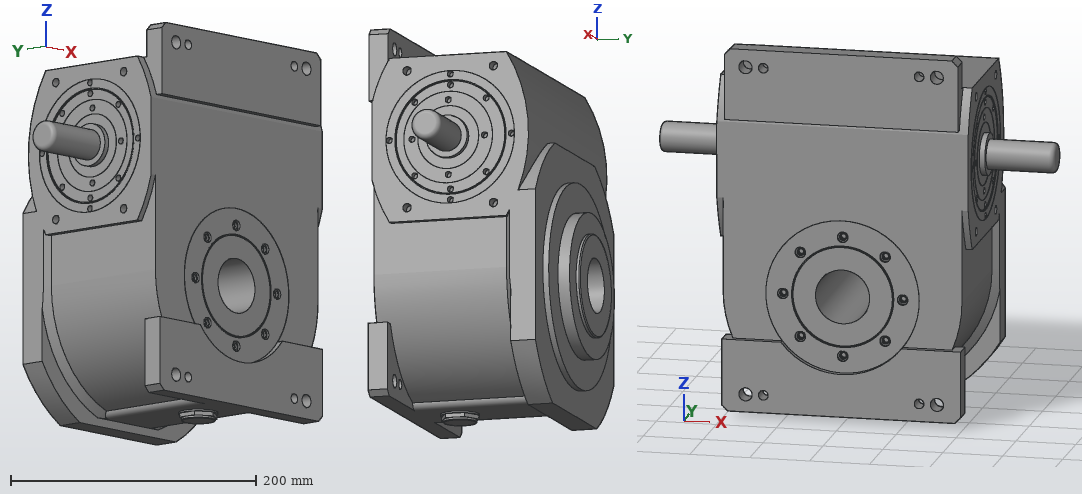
import cadquery as cq
import math


OVERLAP = 1.5

HOUSING_HALF_WIDTH = 105.0
FRONT_FACE_Y = 5.0
BACK_FACE_Y = 123.8
BODY_RADIUS = 99.5
RIB_RADIUS = 106.5
RIB_START_Y = 118.5
PAD_HALF_WIDTH = 32.0
PAD_HEIGHT = 10.0
PAD_EDGE_FILLET = 5.3

INPUT_Y = 70.0
INPUT_Z = 110.0
HEAD_HALF_HEIGHT = 68.0
HEAD_HALF_DEPTH = 69.0
HEAD_ARC_RADIUS = 131.5
SHAFT_LENGTH = 330
SHAFT_DIAMETER = 25.0
SHAFT_END_FILLET = 4.0
COLLAR_DIAMETER = 35.0
COLLAR_HEIGHT = 3.3

CARTRIDGE_Y = 72.0
SEAT_STEP = 0.3
CARTRIDGE_DIAMETER = 110.0
RING_DIAMETER = 95.0
COVER_DIAMETER = 76
SEAL_DIAMETER = 52.0
GAP_WIDTH = 1.0
GAP_DEPTH = 1.3
COVER_SCREW_DIAMETER = 5.0
COVER_SCREW_DEPTH = 6.5
COVER_SCREW_RINGS = [
    (CARTRIDGE_Y, 52.0, (0, 90, 180, 270)),
    (CARTRIDGE_Y, 43.2, (45, 90, 135, 225, 270, 315)),
    (INPUT_Y, 31.0, (0, 90, 180, 270)),
]
CORNER_HOLE_Y = 37.0
CORNER_HOLE_Z = 56.8
CORNER_HOLE_DIAMETER = 7.0
CORNER_HOLE_DEPTH = 10.0

PLATE_THICKNESS = 16.5
PLATE_CHAMFER = 5.0
UPPER_PLATE_HALF_WIDTH = 97.5
UPPER_PLATE_TOP = 205.0
UPPER_PLATE_BOTTOM = 145.2
LOWER_PLATE_HALF_WIDTH = 99.5
LOWER_PLATE_TOP = -39.5
LOWER_PLATE_BOTTOM = -100.0
PLATE_HOLE_INSET = 15.0
BOLT_HOLE_X = 80.0
BOLT_HOLE_DIAMETER = 11.0
PIN_HOLE_X = 65.0
PIN_HOLE_DIAMETER = 8.0

FLANGE_RADIUS = 122.0
FLANGE_BACK_Y = 145.0
FLANGE_BOTTOM = -107.0
OUTPUT_STEPS = [(170.0, 149.8), (120.0, 159.7), (85.0, 163.0)]
PILOT_CHAMFER = 1.0
BORE_DIAMETER = 45.2
FRONT_DISC_DIAMETER = 128.0
FRONT_HUB_DIAMETER = 85.0
FRONT_SCREW_COUNT = 8
FRONT_SCREW_CIRCLE = 100.0
FRONT_SCREW_STEPS = [(8.5, 2.0), (6.0, 4.0), (4.3, 6.0)]

PLUG_Y = 47.0
PLUG_DIAMETER = 32.0
PLUG_COLLAR_HEIGHT = 1.3
PLUG_HEX_HEIGHT = 4.5
PLUG_TIP_DIAMETER = 27.7
PLUG_TIP_HEIGHT = LOWER_PLATE_BOTTOM - FLANGE_BOTTOM - PLUG_HEX_HEIGHT
PLUG_TIP_CHAMFER = 0.5


def block(half_width, y_range, z_range):
    """Box centred on X between two Y and two Z limits."""
    size_y = y_range[1] - y_range[0]
    size_z = z_range[1] - z_range[0]
    box = cq.Workplane("XY").box(2 * half_width, size_y, size_z, centered=(True, False, False))
    return box.translate((0, y_range[0], z_range[0]))


def disc_y(diameter, y_start, y_end):
    """Cylinder on the output axis between two Y positions."""
    base = cq.Workplane("XZ", origin=(0, y_start, 0))
    return base.circle(diameter / 2).extrude(y_start - y_end)


def u_profile(radius):
    """U outline on the XZ plane: round below the output axis, straight above it."""
    return (
        cq.Workplane("XZ")
        .moveTo(radius, 0)
        .lineTo(radius, INPUT_Z)
        .lineTo(-radius, INPUT_Z)
        .lineTo(-radius, 0)
        .threePointArc((0, -radius), (radius, 0))
        .close()
    )


def gap_ring(plane, origin, diameter, height):
    """Narrow ring grown from a plane, its outer edge at the given diameter."""
    base = cq.Workplane(plane, origin=origin)
    return base.circle(diameter / 2).circle(diameter / 2 - GAP_WIDTH).extrude(height)


def drill(point, diameter, depth):
    """Blind hole cutter with a drill point, entering the left side of the head at a (Y, Z) point."""
    radius = diameter / 2
    y, z = point
    outline = [(0, 0), (0, radius), (depth, radius), (depth + radius / 2, 0)]
    cutter = cq.Workplane("XY").polyline(outline).close().revolve(360, (0, 0, 0), (1, 0, 0))
    return cutter.translate((-HOUSING_HALF_WIDTH, y, z)).val()


def on_circle(center, radius, angle):
    """Point on a circle, the angle measured in degrees from the first axis."""
    turn = math.radians(angle)
    return center[0] + radius * math.cos(turn), center[1] + radius * math.sin(turn)


def make_head():
    """Housing head: two shallow arcs front and back, flat top and bottom, cut off at the front wall."""
    arc_offset = HEAD_ARC_RADIUS - HEAD_HALF_DEPTH
    corner = math.sqrt(HEAD_ARC_RADIUS**2 - HEAD_HALF_HEIGHT**2) - arc_offset
    head = (
        cq.Workplane("YZ", origin=(-HOUSING_HALF_WIDTH, INPUT_Y, INPUT_Z))
        .moveTo(-corner, HEAD_HALF_HEIGHT)
        .lineTo(corner, HEAD_HALF_HEIGHT)
        .threePointArc((HEAD_HALF_DEPTH, 0), (corner, -HEAD_HALF_HEIGHT))
        .lineTo(-corner, -HEAD_HALF_HEIGHT)
        .threePointArc((-HEAD_HALF_DEPTH, 0), (-corner, HEAD_HALF_HEIGHT))
        .close()
        .extrude(2 * HOUSING_HALF_WIDTH)
    )
    head_z = (INPUT_Z - HEAD_HALF_HEIGHT, INPUT_Z + HEAD_HALF_HEIGHT)
    return head.cut(block(HOUSING_HALF_WIDTH, (0, FRONT_FACE_Y), head_z))


def make_lower_body():
    """U-shaped body with a pad below and a flared rib at the rear flange."""
    depth = BACK_FACE_Y + OVERLAP - FRONT_FACE_Y
    body = u_profile(BODY_RADIUS).extrude(-depth).translate((0, FRONT_FACE_Y, 0))

    pad_z = (LOWER_PLATE_BOTTOM, LOWER_PLATE_BOTTOM + PAD_HEIGHT)
    pad = block(PAD_HALF_WIDTH, (FRONT_FACE_Y, BACK_FACE_Y + OVERLAP), pad_z)
    pad = pad.edges("|Y and <Z").fillet(PAD_EDGE_FILLET)

    rib_depth = BACK_FACE_Y - RIB_START_Y
    flare = math.degrees(math.atan((RIB_RADIUS - BODY_RADIUS) / rib_depth))
    rib = u_profile(RIB_RADIUS).extrude(rib_depth, taper=flare).translate((0, BACK_FACE_Y, 0))
    rib_z = (LOWER_PLATE_BOTTOM, INPUT_Z - OVERLAP)
    rib_limits = block(HOUSING_HALF_WIDTH, (RIB_START_Y, BACK_FACE_Y), rib_z)
    return body.union(pad).union(rib.intersect(rib_limits))


def make_flange():
    """Round rear flange, trimmed flat at the sides, top and bottom."""
    disc = disc_y(2 * FLANGE_RADIUS, BACK_FACE_Y, FLANGE_BACK_Y)
    limits = block(HOUSING_HALF_WIDTH, (BACK_FACE_Y, FLANGE_BACK_Y), (FLANGE_BOTTOM, INPUT_Z))
    return disc.intersect(limits)


def make_plate(half_width, bottom, top, chamfered_edges):
    """Mounting plate with two bevelled corners."""
    plate = block(half_width, (0, PLATE_THICKNESS), (bottom, top))
    return plate.edges(chamfered_edges).chamfer(PLATE_CHAMFER)


def make_plate_backing():
    """Fills the wedge between the upper plate and the curved front of the head."""
    head_top = INPUT_Z + HEAD_HALF_HEIGHT
    return block(UPPER_PLATE_HALF_WIDTH, (FRONT_FACE_Y, INPUT_Y), (UPPER_PLATE_BOTTOM, head_top))


def make_input_shaft():
    """Through shaft with rounded ends and a collar at each side of the head."""
    base = cq.Workplane("YZ", origin=(0, INPUT_Y, INPUT_Z))
    shaft = base.circle(SHAFT_DIAMETER / 2).extrude(SHAFT_LENGTH / 2, both=True)
    shaft = shaft.faces("<X or >X").edges().fillet(SHAFT_END_FILLET)
    collar = base.circle(COLLAR_DIAMETER / 2).extrude(HOUSING_HALF_WIDTH + COLLAR_HEIGHT, both=True)
    return shaft.union(collar)


def make_plug():
    """Drain plug under the pad: round collar, hexagon with corners along Y, round tip."""
    base = cq.Workplane("XY", origin=(0, PLUG_Y, LOWER_PLATE_BOTTOM + OVERLAP))
    collar = base.circle(PLUG_DIAMETER / 2).extrude(-OVERLAP - PLUG_COLLAR_HEIGHT)
    hexagon = base.transformed(rotate=(0, 0, 90)).polygon(6, PLUG_DIAMETER)
    hexagon = hexagon.extrude(-OVERLAP - PLUG_HEX_HEIGHT)
    tip = hexagon.faces("<Z").workplane(origin=(0, PLUG_Y, 0)).circle(PLUG_TIP_DIAMETER / 2)
    tip = tip.extrude(PLUG_TIP_HEIGHT, combine=False).faces("<Z").chamfer(PLUG_TIP_CHAMFER)
    return collar.union(hexagon).union(tip)


def end_cover_cutters():
    """Seats, gap and screw holes of the left end cover."""
    cutters = []
    seats = [
        (CARTRIDGE_Y, CARTRIDGE_DIAMETER),
        (CARTRIDGE_Y, RING_DIAMETER),
        (INPUT_Y, COVER_DIAMETER),
        (INPUT_Y, SEAL_DIAMETER),
    ]
    for level, (center_y, diameter) in enumerate(seats, start=1):
        base = cq.Workplane("YZ", origin=(-HOUSING_HALF_WIDTH, center_y, INPUT_Z))
        cutters.append(base.circle(diameter / 2).extrude(level * SEAT_STEP).val())
    gap_origin = (-HOUSING_HALF_WIDTH, CARTRIDGE_Y, INPUT_Z)
    cutters.append(gap_ring("YZ", gap_origin, RING_DIAMETER, GAP_DEPTH).val())

    for center_y, radius, angles in COVER_SCREW_RINGS:
        for angle in angles:
            y, z = on_circle((center_y, INPUT_Z), radius, angle)
            cutters.append(drill((y, z), COVER_SCREW_DIAMETER, COVER_SCREW_DEPTH))

    for side_y in (-1, 1):
        for side_z in (-1, 1):
            point = (CARTRIDGE_Y + side_y * CORNER_HOLE_Y, INPUT_Z + side_z * CORNER_HOLE_Z)
            cutters.append(drill(point, CORNER_HOLE_DIAMETER, CORNER_HOLE_DEPTH))
    return cutters


def front_disc_cutters():
    """Round seat on the front face with its hub gap, and the counterbored screw holes around the hub."""
    seat_y = FRONT_FACE_Y + SEAT_STEP
    cutters = [
        disc_y(FRONT_DISC_DIAMETER, 0, seat_y).val(),
        gap_ring("XZ", (0, seat_y, 0), FRONT_HUB_DIAMETER, -GAP_DEPTH).val(),
    ]
    for index in range(FRONT_SCREW_COUNT):
        x, z = on_circle((0, 0), FRONT_SCREW_CIRCLE / 2, index * 360 / FRONT_SCREW_COUNT)
        for diameter, depth in FRONT_SCREW_STEPS:
            cutters.append(disc_y(diameter, seat_y, seat_y + depth).translate((x, 0, z)).val())
    return cutters


def plate_hole_cutters():
    """Bolt and pin holes through both mounting plates."""
    cutters = []
    for z in (UPPER_PLATE_TOP - PLATE_HOLE_INSET, LOWER_PLATE_BOTTOM + PLATE_HOLE_INSET):
        for x, diameter in ((BOLT_HOLE_X, BOLT_HOLE_DIAMETER), (PIN_HOLE_X, PIN_HOLE_DIAMETER)):
            for side in (-1, 1):
                hole = disc_y(diameter, 0, PLATE_THICKNESS).translate((side * x, 0, z))
                cutters.append(hole.val())
    return cutters


housing = make_head().union(make_lower_body()).union(make_flange())
housing = housing.union(make_plate(UPPER_PLATE_HALF_WIDTH, UPPER_PLATE_BOTTOM, UPPER_PLATE_TOP, "|Y and >Z"))
housing = housing.union(make_plate_backing())
housing = housing.union(make_plate(LOWER_PLATE_HALF_WIDTH, LOWER_PLATE_BOTTOM, LOWER_PLATE_TOP, "|Y and <Z"))

for step_diameter, step_end in OUTPUT_STEPS:
    housing = housing.union(disc_y(step_diameter, FLANGE_BACK_Y - OVERLAP, step_end))
housing = housing.faces(">Y").edges().chamfer(PILOT_CHAMFER)
housing = housing.union(make_plug())

left_cutters = end_cover_cutters()
right_cutters = [cutter.mirror("YZ") for cutter in left_cutters]
for cutter in left_cutters + right_cutters + front_disc_cutters() + plate_hole_cutters():
    housing = housing.cut(cq.Workplane(cutter))
output_end = OUTPUT_STEPS[-1][1]
housing = housing.cut(disc_y(BORE_DIAMETER, 0, output_end))

result = housing.union(make_input_shaft())